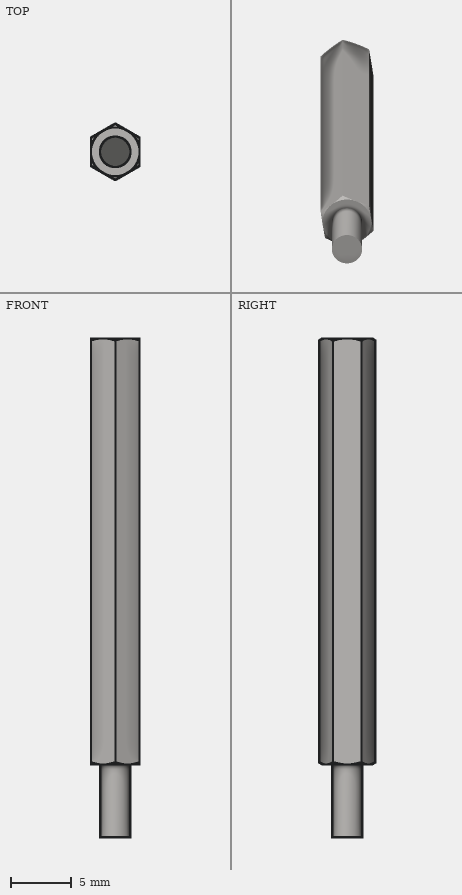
import cadquery as cq
import math

TOTAL_LENGTH = 41.0
STUD_LENGTH = 6.0
ACROSS_FLATS = 4.0
THREAD_DIAMETER = 2.5
SOCKET_DEPTH = 6.0
CHAMFER_ANGLE = 30.0

BODY_LENGTH = TOTAL_LENGTH - STUD_LENGTH
ACROSS_CORNERS = ACROSS_FLATS / math.cos(math.pi / 6)
CORNER_RADIUS = ACROSS_CORNERS / 2
END_FACE_RADIUS = ACROSS_FLATS / 2
CHAMFER_HEIGHT = (CORNER_RADIUS - END_FACE_RADIUS) * math.tan(math.radians(CHAMFER_ANGLE))


def make_corner_envelope():
    """Round bar with coned ends that trims the hexagon corners."""
    profile = [
        (0, STUD_LENGTH),
        (END_FACE_RADIUS, STUD_LENGTH),
        (CORNER_RADIUS, STUD_LENGTH + CHAMFER_HEIGHT),
        (CORNER_RADIUS, TOTAL_LENGTH - CHAMFER_HEIGHT),
        (END_FACE_RADIUS, TOTAL_LENGTH),
        (0, TOTAL_LENGTH),
    ]
    return cq.Workplane("XZ").polyline(profile).close().revolve(360, (0, 0), (0, 1))


def make_spacer():
    """Hexagonal spacer, corners along Y, with a blind socket in its top end."""
    hexagon = (
        cq.Workplane("XY", origin=(0, 0, STUD_LENGTH))
        .polygon(6, ACROSS_CORNERS)
        .extrude(BODY_LENGTH)
        .rotate((0, 0, 0), (0, 0, 1), 30)
    )
    socket = (
        cq.Workplane("XY", origin=(0, 0, TOTAL_LENGTH - SOCKET_DEPTH))
        .circle(THREAD_DIAMETER / 2)
        .extrude(SOCKET_DEPTH)
    )
    return hexagon.intersect(make_corner_envelope()).cut(socket)


def make_stud():
    """Plain round stud that meets the bottom face of the spacer."""
    return cq.Workplane("XY").circle(THREAD_DIAMETER / 2).extrude(STUD_LENGTH)


spacer = make_spacer()
stud = make_stud()

result = cq.Compound.makeCompound([spacer.val(), stud.val()])